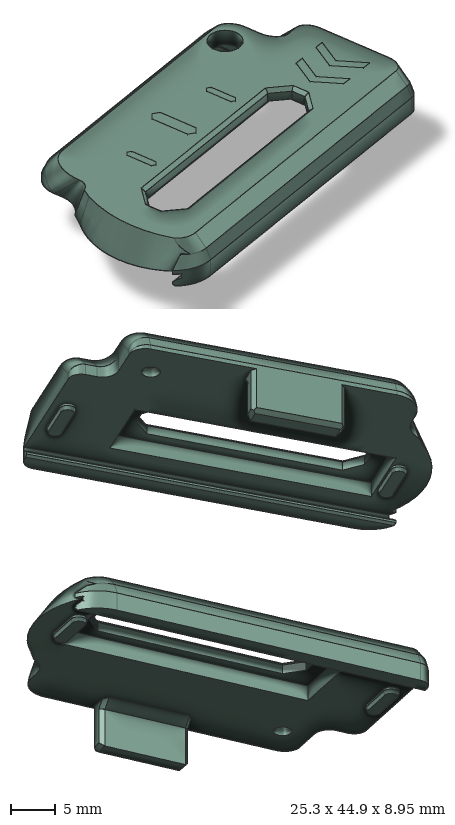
import cadquery as cq
import math

WIDTH = 25.3
LENGTH = 44.85
THICKNESS = 3.35
OVERSIZE = 4.5
NEAR = 0.05

SIDE_STEP_Z = 0.55
SIDE_BEVEL_Z = 1.9
SIDE_STEP_INSET = 0.65
SIDE_TOP_INSET = SIDE_STEP_INSET + THICKNESS - SIDE_BEVEL_Z

LIP_WIDTH = 1.5
LIP_DEPTH = 1.6
HOOK_WIDTH = 2.25
HOOK_BEVEL = 0.25
HOOK_START_Z = -0.55

STEP_X = 7.35
STEP_BEVEL = 2.0
SHOULDER_Y = 40.1
RIGHT_END_Y = 5.47
LEFT_END_Y = 5.9

TOP_CORNER_R = 1.53
STEP_CORNER_R = 1.9
LEFT_END_CORNER_R = 3.35
RIGHT_END_CORNER_R = (4.95, 4.95, 2.95, 2.55)
RIGHT_END_TURN = 65.0

SLOT_X = 16.65
SLOT_Y = 20.4
SLOT_WIDTH = 6.55
SLOT_LENGTH = 27.8
SLOT_CORNER = 2.2
SLOT_CHAMFER = 0.45
POCKET_WIDTH = 8.45
POCKET_LENGTH = 30.8
POCKET_DEPTH = 1.85

SCREW_X = 4.5
SCREW_Y = 36.65
SCREW_DIAMETER = 2.1
HEAD_DIAMETER = 4.0
HEAD_DEPTH = 1.97
HEAD_GROOVE_DEPTH = 0.2

NOSE_TIP_Y = (0.0, 2.4)
NOSE_RADIUS = (11.17, 16.3)
NOSE_START_X = (9.15, 9.65)
NOSE_MARGIN = 0.45
HOLLOW_START_X = (4.65, 6.9)
HOLLOW_END_X = (7.67, 8.5)
HOLLOW_END_Y = (4.0, 4.65)

TAB_THICKNESS = 2.1
TAB_START_Y = 15.2
TAB_LENGTH = 11.05
TAB_DEPTH = 5.6
TAB_FLARE = 1.05
TAB_CHAMFER = 0.5

PEG_LENGTH = 6.05
PEG_WIDTH = 1.9
PEG_DEPTH = 0.7
PEG_CHAMFER_HEIGHT = 0.45
PEG_CHAMFER_INSET = 0.2
PEG_YS = (4.0, 43.0)

INLAY_DEPTH = 0.45
CHEVRON_TOP_Y = 42.8
CHEVRON_PITCH = 3.72
CHEVRON_COUNT = 2
CHEVRON_ANGLE = 30.0
CHEVRON_BAND = 1.15
MARK_END_X = 12.1
MARK_MID_Y = 20.75
MARK_PITCH = 7.5
MARK_POINT_RATIO = 0.75
LONG_MARK = (6.05, 1.53)
SHORT_MARK = (4.05, 0.9)


def outer_profile(left_edge):
    """XZ section of the cover, open-ended on the right; left_edge runs from the bottom up."""
    far_x = WIDTH + OVERSIZE
    return left_edge + [(far_x, THICKNESS), (far_x, -LIP_DEPTH)]


def underside_profile():
    """XZ section of the space below the plate, left of the hooked lip."""
    hook_x = WIDTH - HOOK_WIDTH
    return [
        (-OVERSIZE, 0),
        (WIDTH - LIP_WIDTH, 0),
        (WIDTH - LIP_WIDTH, HOOK_START_Z),
        (hook_x + HOOK_BEVEL, HOOK_START_Z - HOOK_BEVEL),
        (hook_x, HOOK_START_Z - 2 * HOOK_BEVEL),
        (hook_x, -LIP_DEPTH + HOOK_BEVEL),
        (hook_x + HOOK_BEVEL, -LIP_DEPTH),
        (hook_x + HOOK_BEVEL, -LIP_DEPTH - OVERSIZE),
        (-OVERSIZE, -LIP_DEPTH - OVERSIZE),
    ]


def extrude_along_y(points, start_y, end_y):
    plane = cq.Workplane("XZ", origin=(0, start_y, 0))
    return plane.polyline(points).close().extrude(start_y - end_y)


def nose_outline(z):
    """Outline at height z that bounds the nose end and lies clear of the other sides."""

    def at_height(foot_and_top):
        foot, top = foot_and_top
        return foot + (top - foot) * z / THICKNESS

    tip_y = at_height(NOSE_TIP_Y)
    radius = at_height(NOSE_RADIUS)
    far_x = WIDTH + NOSE_MARGIN
    far_y = LENGTH + OVERSIZE

    def nose_point(x):
        return x, tip_y + radius - math.sqrt(radius**2 - (x - SLOT_X) ** 2)

    return (
        cq.Workplane("XY", origin=(0, 0, z))
        .moveTo(-OVERSIZE, LEFT_END_Y)
        .lineTo(at_height(HOLLOW_START_X), LEFT_END_Y)
        .tangentArcPoint((at_height(HOLLOW_END_X), at_height(HOLLOW_END_Y)), relative=False)
        .lineTo(*nose_point(at_height(NOSE_START_X)))
        .threePointArc((SLOT_X, tip_y), nose_point(far_x))
        .lineTo(far_x, far_y)
        .lineTo(-OVERSIZE, far_y)
        .close()
    )


def right_outline(z, inset, corner_r):
    """Outline at height z with the right side and its rounded corner next to the nose."""
    right_x = WIDTH - inset
    turn = math.radians(RIGHT_END_TURN)
    arc_end_x = right_x - corner_r * (1 - math.cos(turn))
    arc_end_y = RIGHT_END_Y - corner_r * math.sin(turn)
    left_y = arc_end_y - (arc_end_x + OVERSIZE) / math.tan(turn)
    return (
        cq.Workplane("XY", origin=(0, 0, z))
        .moveTo(-OVERSIZE, LENGTH + OVERSIZE)
        .lineTo(right_x, LENGTH + OVERSIZE)
        .lineTo(right_x, RIGHT_END_Y)
        .tangentArcPoint((arc_end_x, arc_end_y), relative=False)
        .lineTo(-OVERSIZE, left_y)
        .close()
    )


def ruled_solid(lower, upper):
    return cq.Workplane(cq.Solid.makeLoft([lower.val(), upper.val()], True))


def right_envelope():
    """Region left of the right side, built from the lip up, band by band."""
    levels = [(-LIP_DEPTH, 0), (SIDE_STEP_Z, 0), (SIDE_BEVEL_Z, SIDE_STEP_INSET), (THICKNESS, SIDE_TOP_INSET)]
    outlines = [right_outline(*level, corner_r) for level, corner_r in zip(levels, RIGHT_END_CORNER_R)]
    envelope = ruled_solid(outlines[0], outlines[1])
    for lower, upper in zip(outlines[1:], outlines[2:]):
        envelope = envelope.union(ruled_solid(lower, upper))
    return envelope


def end_envelope():
    """Region inside the nose and the right side; the lip keeps an upright end beside the nose."""
    nose = ruled_solid(nose_outline(0), nose_outline(THICKNESS))
    lip_strip = extrude_along_y(
        [
            (WIDTH - HOOK_WIDTH, -LIP_DEPTH),
            (WIDTH - HOOK_WIDTH, SIDE_BEVEL_Z),
            (WIDTH + OVERSIZE, SIDE_BEVEL_Z),
            (WIDTH + OVERSIZE, -LIP_DEPTH),
        ],
        -OVERSIZE,
        LENGTH + OVERSIZE,
    )
    return nose.union(lip_strip).intersect(right_envelope())


def round_corner(body, x_range, y, radius):
    """Round the upright and slanted edges at this y whose middles lie in the X range."""
    edges = [
        edge
        for edge in body.edges().vals()
        if x_range[0] < edge.Center().x < x_range[1]
        and abs(edge.Center().y - y) < NEAR
        and abs(edge.tangentAt(0.5).z) > NEAR
    ]
    return body.newObject(edges).fillet(radius)


def make_blank():
    full_left = [
        (0, -LIP_DEPTH),
        (0, SIDE_STEP_Z),
        (SIDE_STEP_INSET, SIDE_BEVEL_Z),
        (SIDE_TOP_INSET, THICKNESS),
    ]
    nose_left = [(0, -LIP_DEPTH), (0, THICKNESS)]
    stepped_left = [
        (STEP_X, -LIP_DEPTH),
        (STEP_X, THICKNESS - STEP_BEVEL),
        (STEP_X + STEP_BEVEL, THICKNESS),
    ]
    left_x = (-NEAR, SIDE_TOP_INSET)
    step_x = (STEP_X - NEAR, STEP_X + STEP_BEVEL)
    right_x = (WIDTH - LIP_WIDTH + NEAR, WIDTH + NEAR)

    main = extrude_along_y(outer_profile(full_left), LEFT_END_Y, SHOULDER_Y)
    main = round_corner(main, left_x, LEFT_END_Y, LEFT_END_CORNER_R)
    upper = extrude_along_y(outer_profile(stepped_left), SHOULDER_Y, LENGTH)
    nose = extrude_along_y(outer_profile(nose_left), -OVERSIZE, LEFT_END_Y)
    blank = main.union(upper).union(nose).intersect(end_envelope())

    blank = round_corner(blank, left_x, SHOULDER_Y, STEP_CORNER_R)
    blank = round_corner(blank, step_x, SHOULDER_Y, STEP_CORNER_R)
    blank = round_corner(blank, step_x, LENGTH, TOP_CORNER_R)
    blank = round_corner(blank, right_x, LENGTH, TOP_CORNER_R)
    return blank.cut(extrude_along_y(underside_profile(), -OVERSIZE, LENGTH + OVERSIZE))


def octagon(z, grow):
    """Slot outline at height z, widened by grow on every side."""
    corner = SLOT_CORNER + grow * (2 - math.sqrt(2))
    half_x = SLOT_WIDTH / 2 + grow
    half_y = SLOT_LENGTH / 2 + grow
    points = [
        (half_x, half_y - corner), (half_x - corner, half_y),
        (corner - half_x, half_y), (-half_x, half_y - corner),
        (-half_x, corner - half_y), (corner - half_x, -half_y),
        (half_x - corner, -half_y), (half_x, corner - half_y),
    ]
    return cq.Workplane("XY", origin=(SLOT_X, SLOT_Y, z)).polyline(points).close()


def slot_cutter():
    through = octagon(0, -SLOT_CHAMFER).extrude(THICKNESS)
    pocket = (
        cq.Workplane("XY", origin=(SLOT_X, SLOT_Y, 0))
        .rect(POCKET_WIDTH, POCKET_LENGTH)
        .extrude(POCKET_DEPTH)
    )
    rim_foot = octagon(THICKNESS - SLOT_CHAMFER, -SLOT_CHAMFER)
    rim_top = octagon(THICKNESS, 0)
    rim = ruled_solid(rim_foot, rim_top)
    return through.union(pocket).union(rim)


def screw_cutter():
    """Through hole, head recess, and a groove as wide as the hole across the recess floor."""
    floor_z = THICKNESS - HEAD_DEPTH
    base = cq.Workplane("XY", origin=(SCREW_X, SCREW_Y, 0))
    floor = base.workplane(offset=floor_z)
    hole = base.circle(SCREW_DIAMETER / 2).extrude(THICKNESS)
    recess = floor.circle(HEAD_DIAMETER / 2).extrude(HEAD_DEPTH)
    groove = floor.circle(HEAD_DIAMETER / 2).extrude(-HEAD_GROOVE_DEPTH).intersect(
        floor.rect(HEAD_DIAMETER, SCREW_DIAMETER).extrude(-HEAD_GROOVE_DEPTH)
    )
    return hole.union(recess).union(groove)


def make_tab():
    points = [
        (0, 0),
        (0, -TAB_DEPTH),
        (TAB_THICKNESS, -TAB_DEPTH),
        (TAB_THICKNESS, -TAB_FLARE),
        (TAB_THICKNESS + TAB_FLARE, 0),
    ]
    tab = extrude_along_y(points, TAB_START_Y, TAB_START_Y + TAB_LENGTH)
    tab = tab.faces("<Y or >Y").edges("not(>Z)").chamfer(TAB_CHAMFER)
    return tab.faces("<Z").edges("<X").chamfer(TAB_CHAMFER)


def make_peg(y):
    peg = cq.Workplane("XY", origin=(SLOT_X, y, 0)).slot2D(PEG_LENGTH, PEG_WIDTH).extrude(-PEG_DEPTH)
    return peg.faces("<Z").chamfer(PEG_CHAMFER_HEIGHT, PEG_CHAMFER_INSET)


def extrude_inlay(points):
    plane = cq.Workplane("XY", origin=(0, 0, THICKNESS))
    return plane.polyline(points).close().extrude(-INLAY_DEPTH)


def make_chevron(top_y):
    """V-shaped inlay as wide as the slot, pointing to the nose."""
    half = SLOT_WIDTH / 2
    drop = half * math.tan(math.radians(CHEVRON_ANGLE))
    upper = [(SLOT_X - half, top_y), (SLOT_X, top_y - drop), (SLOT_X + half, top_y)]
    lower = [(x, y - CHEVRON_BAND) for x, y in reversed(upper)]
    return extrude_inlay(upper + lower)


def make_mark(size, mid_y):
    """Bar inlay with pointed ends."""
    length, height = size
    half = height / 2
    point = MARK_POINT_RATIO * half
    start_x = MARK_END_X - length
    return extrude_inlay([
        (start_x, mid_y),
        (start_x + point, mid_y + half),
        (MARK_END_X - point, mid_y + half),
        (MARK_END_X, mid_y),
        (MARK_END_X - point, mid_y - half),
        (start_x + point, mid_y - half),
    ])


chevrons = [make_chevron(CHEVRON_TOP_Y - i * CHEVRON_PITCH) for i in range(CHEVRON_COUNT)]
long_mark = make_mark(LONG_MARK, MARK_MID_Y)
short_marks = [make_mark(SHORT_MARK, MARK_MID_Y + side * MARK_PITCH) for side in (-1, 1)]
inlays = [*chevrons, long_mark, *short_marks]

cover = make_blank().cut(slot_cutter()).cut(screw_cutter()).union(make_tab())
for peg_y in PEG_YS:
    cover = cover.union(make_peg(peg_y))
for inlay in inlays:
    cover = cover.cut(inlay)

result = cq.Compound.makeCompound([cover.val(), *[inlay.val() for inlay in inlays]])